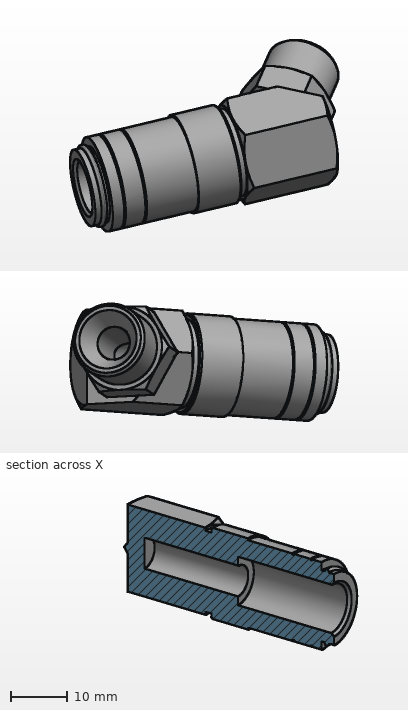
import cadquery as cq
import math


nose_radius = 7.0
body_start, body_radius = 2.7, 8.6
collar_start, collar_end, collar_radius = 18.75, 26.85, 9.0
collar_chamfer = 0.3
neck_radius = 8.0
groove_starts = (4.9, 8.9)
groove_width, groove_depth = 0.25, 0.2
ring_station, ring_centre_radius, ring_section_radius = 1.65, 7.0, 0.5

block_start, block_end, block_flats = 28.05, 45.05, 17.15
nut_length, nut_flats = 6.1, 15.0
hex_bevel_angle = 30

branch_rise = 36
branch_seat_x, branch_seat_y = -4.7, 38.55
spigot_length, spigot_radius = 15.0, 6.6
spigot_chamfer_length, spigot_chamfer_width = 0.75, 0.5

socket_bore_radius, socket_bore_depth = 4.7, 20.9
socket_mouth_chamfer = 0.6
passage_radius, passage_end = 3.0, 41.3
cone_mouth_radius, cone_depth = 5.3, 3.85


def hex_radius(flats):
    """Corner radius of a hexagon given its size across flats."""
    return flats / 2 / math.cos(math.pi / 6)


def revolve_profile(points):
    """Revolve (radius, station) points about the Z axis."""
    return cq.Workplane("XZ").polyline(points).close().revolve(360, (0, 0), (0, 1))


def hex_bar(flats, start, end, bevel_start):
    """Hexagonal bar along Z, corners on X, with its end corners turned to a cone."""
    corner = hex_radius(flats)
    flat = flats / 2
    drop = (corner - flat) * math.tan(math.radians(hex_bevel_angle))
    bar = cq.Workplane("XY").workplane(offset=start).polygon(6, 2 * corner).extrude(end - start)
    envelope = [(0, start)]
    if bevel_start:
        envelope += [(flat, start), (corner, start + drop)]
    else:
        envelope += [(corner, start)]
    envelope += [(corner, end - drop), (flat, end), (0, end)]
    return bar.intersect(revolve_profile(envelope))


def along_socket(shape):
    """Turn a Z-axis shape onto the socket axis, +Y."""
    return shape.rotate((0, 0, 0), (1, 0, 0), -90)


def along_branch(shape):
    """Turn a Z-axis shape onto the branch axis and move it to the nut seat."""
    turned = along_socket(shape).rotate((0, 0, 0), (0, 0, 1), 90 - branch_rise)
    return turned.translate((branch_seat_x, branch_seat_y, 0))


def make_socket():
    socket = revolve_profile([
        (0, 0),
        (nose_radius, 0),
        (nose_radius, body_start),
        (body_radius, body_start),
        (body_radius, collar_start),
        (collar_radius, collar_start),
        (collar_radius, collar_end - collar_chamfer),
        (collar_radius - collar_chamfer, collar_end),
        (neck_radius, collar_end),
        (neck_radius, block_start),
        (0, block_start),
    ])
    for start in groove_starts:
        plane = cq.Workplane("XY").workplane(offset=start)
        inner = body_radius - groove_depth
        socket = socket.cut(plane.circle(collar_radius).circle(inner).extrude(groove_width))
    ring = (
        cq.Workplane("XZ")
        .center(ring_centre_radius, ring_station)
        .circle(ring_section_radius)
        .revolve(360, (-ring_centre_radius, 0), (-ring_centre_radius, 1))
    )
    return along_socket(socket.union(ring))


def make_block():
    """Hexagonal block, trimmed flat where the nut sits."""
    block = along_socket(hex_bar(block_flats, block_start, block_end, True))
    trim_size = 2 * block_end
    trim = cq.Workplane("XY").rect(trim_size, trim_size).extrude(trim_size)
    return block.cut(along_branch(trim))


def make_branch():
    spigot = revolve_profile([
        (0, 0),
        (spigot_radius, 0),
        (spigot_radius, spigot_length - spigot_chamfer_length),
        (spigot_radius - spigot_chamfer_width, spigot_length),
        (0, spigot_length),
    ])
    nut = hex_bar(nut_flats, 0, nut_length, False)
    return along_branch(nut.union(spigot))


def make_socket_bore():
    return along_socket(revolve_profile([
        (0, 0),
        (socket_bore_radius + socket_mouth_chamfer, 0),
        (socket_bore_radius, socket_mouth_chamfer),
        (socket_bore_radius, socket_bore_depth),
        (passage_radius, socket_bore_depth),
        (passage_radius, passage_end),
        (0, passage_end),
    ]))


def make_branch_bore():
    """Passage from the socket axis out to the conical spigot mouth."""
    axis_meeting = branch_seat_x / math.cos(math.radians(branch_rise))
    return along_branch(revolve_profile([
        (0, axis_meeting),
        (passage_radius, axis_meeting),
        (passage_radius, spigot_length - cone_depth),
        (cone_mouth_radius, spigot_length),
        (0, spigot_length),
    ]))


body = make_socket().union(make_block()).union(make_branch())
result = body.cut(make_socket_bore()).cut(make_branch_bore())